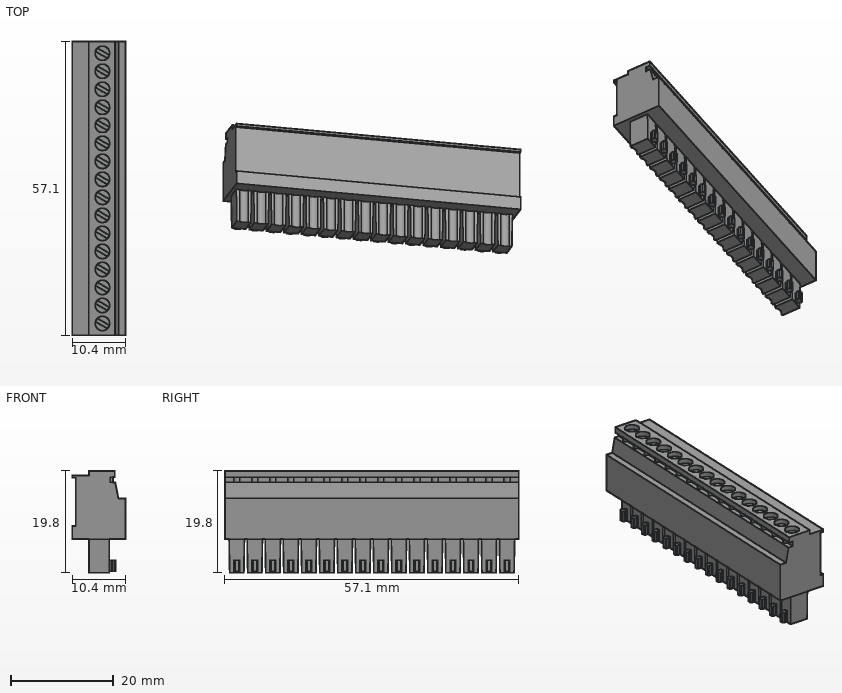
import cadquery as cq
import math


length = 57.1
depth = 10.4
housing_height = 13.25
ledge_top = 12.4
lip_bottom = 11.9
foot_height = 2.55
wall_inset = 0.7
step_x = 3.25
top_edge_x = 8.3
shoulder_top = 7.9
slope_top_x = 8.4
slope_bottom_x = 9.0

groove_floor_x = 7.35
groove_top = 12.05
groove_bottom = 11.0
rib_diameter = 1.2

pole_count = 16
pitch = 3.5
pole_ys = [(i - (pole_count - 1) / 2) * pitch for i in range(pole_count)]

screw_x = 5.9
screw_diameter = 2.8
screw_recess = 0.95
slot_width = 0.75
slot_depth = 0.35
slot_angle = -30.0
slot_length = math.sqrt(screw_diameter**2 - slot_width**2)

plug_length = 6.55
plug_left_x = step_x
plug_right_x = 7.25
plug_top_width = 3.0
plug_tip_width = 2.8
flute_width = 1.7
flute_depth = 0.35

key_bottom = -6.3
key_top = -4.1
key_neck_x = 7.6
key_flare_x = 7.75
key_chamfer_x = 8.2
key_tip_x = 8.45
key_neck_half = 0.35
key_head_half = 0.55


def make_housing():
    outline = [
        (0, 0),
        (depth, 0),
        (depth, shoulder_top),
        (slope_bottom_x, shoulder_top),
        (slope_top_x, groove_bottom),
        (groove_floor_x, groove_bottom),
        (groove_floor_x, groove_top),
        (top_edge_x, groove_top),
        (top_edge_x, housing_height),
        (step_x, housing_height),
        (step_x, ledge_top),
        (0, ledge_top),
        (0, lip_bottom),
        (wall_inset, lip_bottom),
        (wall_inset, foot_height),
        (0, foot_height),
    ]
    return cq.Workplane("XZ").polyline(outline).close().extrude(length / 2, both=True)


def make_ribs():
    return (
        cq.Workplane("XY", origin=(0, 0, groove_bottom))
        .pushPoints([(groove_floor_x, y) for y in pole_ys])
        .circle(rib_diameter / 2)
        .extrude(groove_top - groove_bottom)
    )


def cut_screws(body):
    recess_floor = housing_height - screw_recess
    recess = (
        cq.Workplane("XY", origin=(screw_x, 0, recess_floor))
        .circle(screw_diameter / 2)
        .extrude(screw_recess)
    )
    slot = (
        cq.Workplane("XY", origin=(screw_x, 0, recess_floor - slot_depth))
        .transformed(rotate=(0, 0, slot_angle))
        .rect(slot_length, slot_width)
        .extrude(slot_depth)
    )
    cutter = recess.union(slot)
    for y in pole_ys:
        body = body.cut(cutter.translate((0, y, 0)))
    return body


def make_plug():
    top_half = plug_top_width / 2
    tip_half = plug_tip_width / 2
    blade = (
        cq.Workplane("YZ", origin=(plug_left_x, 0, 0))
        .polyline([(-top_half, 0), (top_half, 0), (tip_half, -plug_length), (-tip_half, -plug_length)])
        .close()
        .extrude(plug_right_x - plug_left_x)
    )
    flute = (
        cq.Workplane("XY")
        .moveTo(plug_left_x, -flute_width / 2)
        .threePointArc((plug_left_x + flute_depth, 0), (plug_left_x, flute_width / 2))
        .close()
        .extrude(-plug_length)
    )
    return blade.cut(flute).union(make_key())


def make_key():
    half_outline = [
        (plug_right_x, key_neck_half),
        (key_neck_x, key_neck_half),
        (key_flare_x, key_head_half),
        (key_chamfer_x, key_head_half),
        (key_tip_x, key_neck_half),
    ]
    other_half = [(x, -y) for x, y in reversed(half_outline)]
    return (
        cq.Workplane("XY", origin=(0, 0, key_bottom))
        .polyline(half_outline + other_half)
        .close()
        .extrude(key_top - key_bottom)
    )


result = cut_screws(make_housing().union(make_ribs()))
plug = make_plug()
for pole_y in pole_ys:
    result = result.union(plug.translate((0, pole_y, 0)))